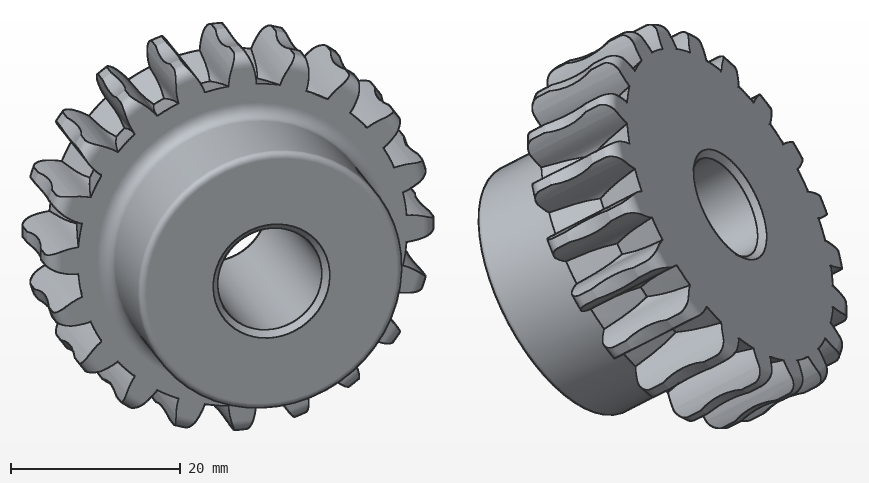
import cadquery as cq
import math

tooth_count = 20
outer_radius = 23.75
total_length = 25.35
wheel_width = 12.65
mid_x = wheel_width / 2

rim_round = 1.55
throat_half_width = 3.05
throat_depth = 0.47

hub_radius = 16.1
hub_root_fillet = 1.6
hub_end_round = 0.75
bore_radius = 6.35
bore_chamfer = 0.75

floor_radius_at_face = 20.1
floor_radius_at_middle = 18.6

flank_top = (24.2, 0.4)
flank_middle = (22.2, 1.35)
root_curve_start = (20.0, 1.7)
root_curve_middle = (19.17, 1.85)
root_curve_end = (floor_radius_at_middle, 2.25)

tooth_pitch = 360 / tooth_count


def round_middle(centre_x, centre_radius, radius, direction):
    """Middle point of a rounded corner, on the 45 degree diagonal given by direction."""
    offset = radius * math.sqrt(0.5)
    return (centre_x + direction[0] * offset, centre_radius + direction[1] * offset)


def make_blank():
    """Turned wheel and hub, before the teeth are cut."""
    shoulder = outer_radius - rim_round
    right_round_x = wheel_width - rim_round
    fillet_end_x = wheel_width + hub_root_fillet
    fillet_radius = hub_radius + hub_root_fillet
    hub_round_x = total_length - hub_end_round
    hub_round_radius = hub_radius - hub_end_round
    throat_bottom = (mid_x, outer_radius - throat_depth)
    return (
        cq.Workplane("XZ")
        .lineTo(0, shoulder)
        .threePointArc(round_middle(rim_round, shoulder, rim_round, (-1, 1)), (rim_round, outer_radius))
        .lineTo(mid_x - throat_half_width, outer_radius)
        .threePointArc(throat_bottom, (mid_x + throat_half_width, outer_radius))
        .lineTo(right_round_x, outer_radius)
        .threePointArc(round_middle(right_round_x, shoulder, rim_round, (1, 1)), (wheel_width, shoulder))
        .lineTo(wheel_width, fillet_radius)
        .threePointArc(
            round_middle(fillet_end_x, fillet_radius, hub_root_fillet, (-1, -1)),
            (fillet_end_x, hub_radius),
        )
        .lineTo(hub_round_x, hub_radius)
        .threePointArc(
            round_middle(hub_round_x, hub_round_radius, hub_end_round, (1, 1)),
            (total_length, hub_round_radius),
        )
        .lineTo(total_length, 0)
        .close()
        .revolve(360, (0, 0, 0), (1, 0, 0))
    )


def make_bore():
    """Through bore with a chamfer at each end."""
    mouth_radius = bore_radius + bore_chamfer
    return (
        cq.Workplane("XZ")
        .lineTo(0, mouth_radius)
        .lineTo(bore_chamfer, bore_radius)
        .lineTo(total_length - bore_chamfer, bore_radius)
        .lineTo(total_length, mouth_radius)
        .lineTo(total_length, 0)
        .close()
        .revolve(360, (0, 0, 0), (1, 0, 0))
    )


def make_floor_core():
    """Double cone whose surface is the floor of all tooth gaps."""
    return (
        cq.Workplane("XZ")
        .lineTo(0, floor_radius_at_face)
        .lineTo(mid_x, floor_radius_at_middle)
        .lineTo(wheel_width, floor_radius_at_face)
        .lineTo(wheel_width, 0)
        .close()
        .revolve(360, (0, 0, 0), (1, 0, 0))
    )


def gap_point(tooth_point, side):
    """Turn a (radius, half tooth thickness) pair into a (Y, Z) point beside a gap centred on +Z."""
    radius, half_thickness = tooth_point
    angle = math.radians(tooth_pitch / 2) - half_thickness / radius
    return (side * radius * math.sin(angle), radius * math.cos(angle))


def make_gap():
    """Straight tooth gap along X, centred on +Z and closed below by the double cone."""
    prism = (
        cq.Workplane("YZ")
        .moveTo(*gap_point(flank_top, -1))
        .threePointArc(gap_point(flank_middle, -1), gap_point(root_curve_start, -1))
        .threePointArc(gap_point(root_curve_middle, -1), gap_point(root_curve_end, -1))
        .lineTo(*gap_point(root_curve_end, 1))
        .threePointArc(gap_point(root_curve_middle, 1), gap_point(root_curve_start, 1))
        .threePointArc(gap_point(flank_middle, 1), gap_point(flank_top, 1))
        .close()
        .extrude(wheel_width)
    )
    return prism.cut(make_floor_core())


gap = make_gap()
gear = make_blank().cut(make_bore())
for index in range(tooth_count):
    angle = (index + 0.5) * tooth_pitch
    gear = gear.cut(gap.rotate((0, 0, 0), (1, 0, 0), angle))

result = gear